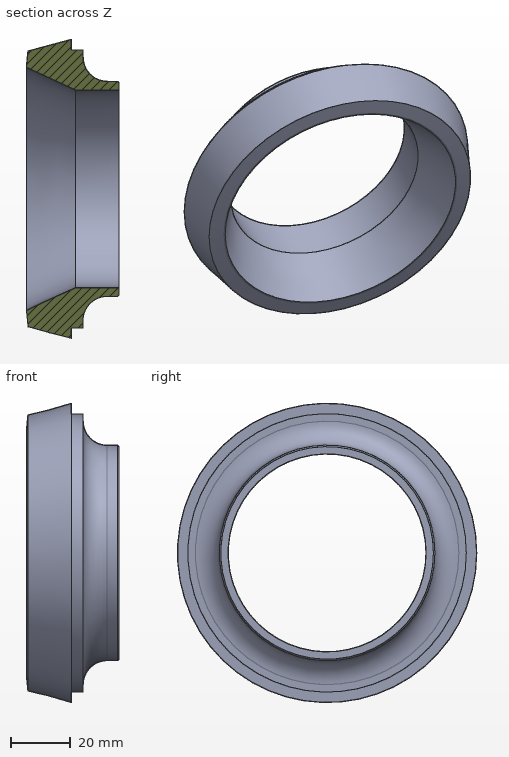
import cadquery as cq
import math

total_length = 31.0
flange_length = 15.0
shoulder_length = 4.0
taper_depth = 16.5

rim_radius = 50.0
front_radius = 46.1
shoulder_radius = 46.5
spigot_radius = 36.0

cove_radius = 8.0
spigot_chamfer = 0.5

lip_radius = 41.0
face_slope = 0.5

mouth_radius = 40.6
bore_radius = 33.0

x_front = -total_length / 2
x_back = total_length / 2
x_flange = x_front + flange_length
x_shoulder = x_flange + shoulder_length
x_spigot = x_shoulder + cove_radius
x_bore = x_front + taper_depth

cove_top = spigot_radius + cove_radius
diagonal = cove_radius * math.sqrt(0.5)
cove_middle = (x_spigot - diagonal, cove_top - diagonal)

profile = (
    cq.Workplane("XY")
    .moveTo(x_front, lip_radius)
    .lineTo(x_front + face_slope, front_radius)
    .lineTo(x_flange, rim_radius)
    .lineTo(x_flange, shoulder_radius)
    .lineTo(x_shoulder, shoulder_radius)
    .lineTo(x_shoulder, cove_top)
    .threePointArc(cove_middle, (x_spigot, spigot_radius))
    .lineTo(x_back - spigot_chamfer, spigot_radius)
    .lineTo(x_back, spigot_radius - spigot_chamfer)
    .lineTo(x_back, bore_radius)
    .lineTo(x_bore, bore_radius)
    .lineTo(x_front, mouth_radius)
    .close()
)

result = profile.revolve(360, (0, 0, 0), (1, 0, 0))